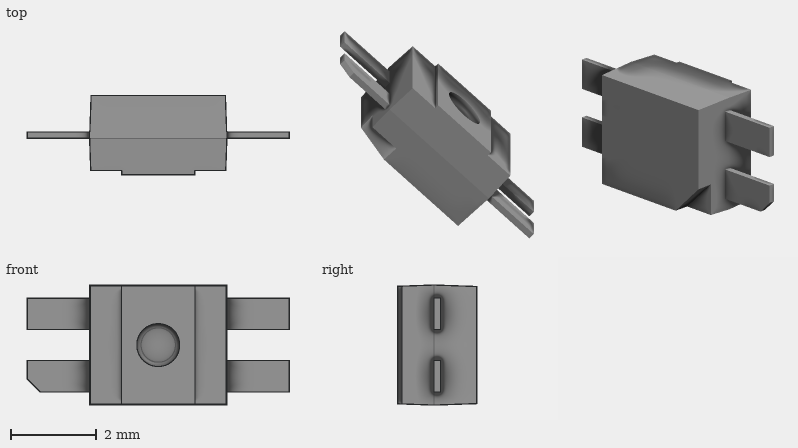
import cadquery as cq
import math

housing_length = 3.2
housing_height = 2.8
front_depth = 0.75
rear_depth = 1.0
draft_angle = 2.0

band_width = 1.7
band_depth = 0.1
dimple_diameter = 1.0
dimple_straight_depth = 0.1
dimple_floor_radius = 0.1

notch_leg = 0.74
notch_depth = 0.4

lead_span = 6.1
lead_pitch = 1.45
lead_width = 0.735
lead_thickness = 0.15
lead_chamfer = 0.3


def housing_half(depth, direction):
    """Drafted block from the parting plane; direction is the sign of Y."""
    plane = cq.Plane(origin=(0, 0, 0), xDir=(1, 0, 0), normal=(0, direction, 0))
    return (
        cq.Workplane(plane)
        .rect(housing_length, housing_height)
        .extrude(depth, taper=draft_angle)
    )


def raised_band():
    """Full-height strip that carries the drafted ends of the front half forward."""
    total_depth = front_depth + band_depth
    strip = cq.Workplane("XZ").rect(band_width, housing_height).extrude(total_depth)
    return housing_half(total_depth, -1).intersect(strip)


def dimple():
    """Round blind recess whose floor edge is rounded."""
    return (
        cq.Workplane("XZ", origin=(0, -front_depth - band_depth, 0))
        .circle(dimple_diameter / 2)
        .extrude(-dimple_straight_depth - dimple_floor_radius)
        .faces(">Y").edges()
        .fillet(dimple_floor_radius)
    )


def corner_notch():
    """Triangular prism across the lower -X corner, open to the rear."""
    rear_inset = rear_depth * math.tan(math.radians(draft_angle))
    corner_x = -housing_length / 2 + rear_inset
    corner_z = -housing_height / 2 + rear_inset
    reach = 2 * notch_leg
    return (
        cq.Workplane("XZ", origin=(corner_x, rear_depth, corner_z))
        .moveTo(-notch_leg, reach)
        .lineTo(reach, -notch_leg)
        .lineTo(-notch_leg, -notch_leg)
        .close()
        .extrude(notch_depth)
    )


def lead_blank(side, z):
    """Flat strip running from mid-housing to the lead tip on the given X side."""
    length = lead_span / 2
    strip = cq.Workplane("XY").box(
        length, lead_thickness, lead_width, centered=(True, False, True)
    )
    return strip.translate((side * length / 2, 0, z))


housing = (
    housing_half(rear_depth, 1)
    .union(housing_half(front_depth, -1))
    .union(raised_band())
    .cut(dimple())
    .cut(corner_notch())
)

leads = []
for side in (-1, 1):
    for row in (-1, 1):
        blank = lead_blank(side, row * lead_pitch / 2)
        if side == -1 and row == -1:
            blank = blank.faces("<X").edges("<Z").chamfer(lead_chamfer)
        leads.append(blank.cut(housing))

result = cq.Compound.makeCompound([housing.val(), *[item.val() for item in leads]])